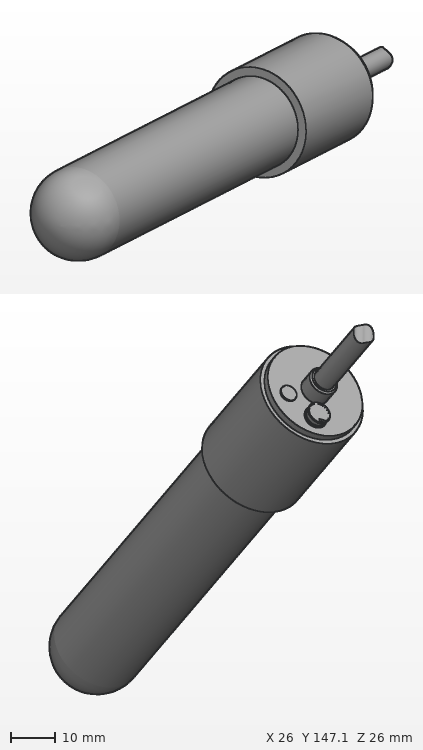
import cadquery as cq
import math

total_length = 147.1

tube_radius = 21.8 / 2
tube_end_y = 90.3

barrel_radius = 26.0 / 2
barrel_length = 29.7
lid_radius = 24.0 / 2
lid_height = 1.8
barrel_end_y = tube_end_y + barrel_length
lid_y = barrel_end_y + lid_height

collar_radius = 7.0 / 2
collar_height = 4.7
collar_chamfer = 0.5
cable_radius = 5.1 / 2
cable_wave = 0.6

fitting_circle_radius = 7.5
button_angle = -24.0
button_radius = 4.0 / 2
button_height = 0.5
post_angle = -90.0
post_flange_radius = 5.5 / 2
post_stem_radius = 4.9 / 2
post_height = 2.2
post_base_height = 0.5
post_rim_height = 0.3
notch_width = 0.6
notch_depth = 0.9
notch_offset = 2.0


def cylinder_along_y(radius, start_y, height, x=0.0, z=0.0):
    start = cq.Vector(x, start_y, z)
    return cq.Workplane(cq.Solid.makeCylinder(radius, height, start, cq.Vector(0, 1, 0)))


def fitting_center(angle):
    """X and Z of a lid fitting at an angle from +X on the fitting circle."""
    turn = math.radians(angle)
    return fitting_circle_radius * math.cos(turn), fitting_circle_radius * math.sin(turn)


def make_tube():
    arc_offset = tube_radius * math.sqrt(0.5)
    return (
        cq.Workplane("XY")
        .moveTo(0, 0)
        .threePointArc((arc_offset, tube_radius - arc_offset), (tube_radius, tube_radius))
        .lineTo(tube_radius, tube_end_y)
        .lineTo(0, tube_end_y)
        .close()
        .revolve(360, (0, 0, 0), (0, 1, 0))
    )


def make_cable():
    """Round cable whose free end is cut along an S-shaped curve."""
    middle_y = total_length - cable_wave
    crest_x = cable_radius / 2
    profile = (
        cq.Workplane("XY")
        .workplane(offset=-cable_radius)
        .moveTo(-cable_radius, lid_y)
        .lineTo(-cable_radius, middle_y)
        .threePointArc((-crest_x, total_length), (0, middle_y))
        .threePointArc((crest_x, middle_y - cable_wave), (cable_radius, middle_y))
        .lineTo(cable_radius, lid_y)
        .close()
        .extrude(2 * cable_radius)
    )
    return cylinder_along_y(cable_radius, lid_y, total_length - lid_y).intersect(profile)


def make_post():
    """Spool-shaped post with a small notch in the -X side of its rim."""
    x, z = fitting_center(post_angle)
    rim_y = lid_y + post_height - post_rim_height
    stem = cylinder_along_y(post_stem_radius, lid_y, post_height, x, z)
    base = cylinder_along_y(post_flange_radius, lid_y, post_base_height, x, z)
    rim = cylinder_along_y(post_flange_radius, rim_y, post_rim_height, x, z)
    notch = cq.Workplane("XY").box(post_flange_radius, notch_depth, notch_width).translate(
        (x - post_flange_radius / 2, lid_y + post_height - notch_depth / 2, z - notch_offset)
    )
    return stem.union(base).union(rim).cut(notch)


def make_cap():
    barrel = cylinder_along_y(barrel_radius, tube_end_y, barrel_length)
    lid = cylinder_along_y(lid_radius, barrel_end_y, lid_height)
    collar = cylinder_along_y(collar_radius, lid_y, collar_height).faces(">Y").chamfer(collar_chamfer)
    button_x, button_z = fitting_center(button_angle)
    button = cylinder_along_y(button_radius, lid_y, button_height, button_x, button_z)
    return barrel.union(lid).union(collar).union(make_cable()).union(button).union(make_post())


tube = make_tube()
cap = make_cap()

result = cq.Compound.makeCompound([tube.val(), cap.val()])